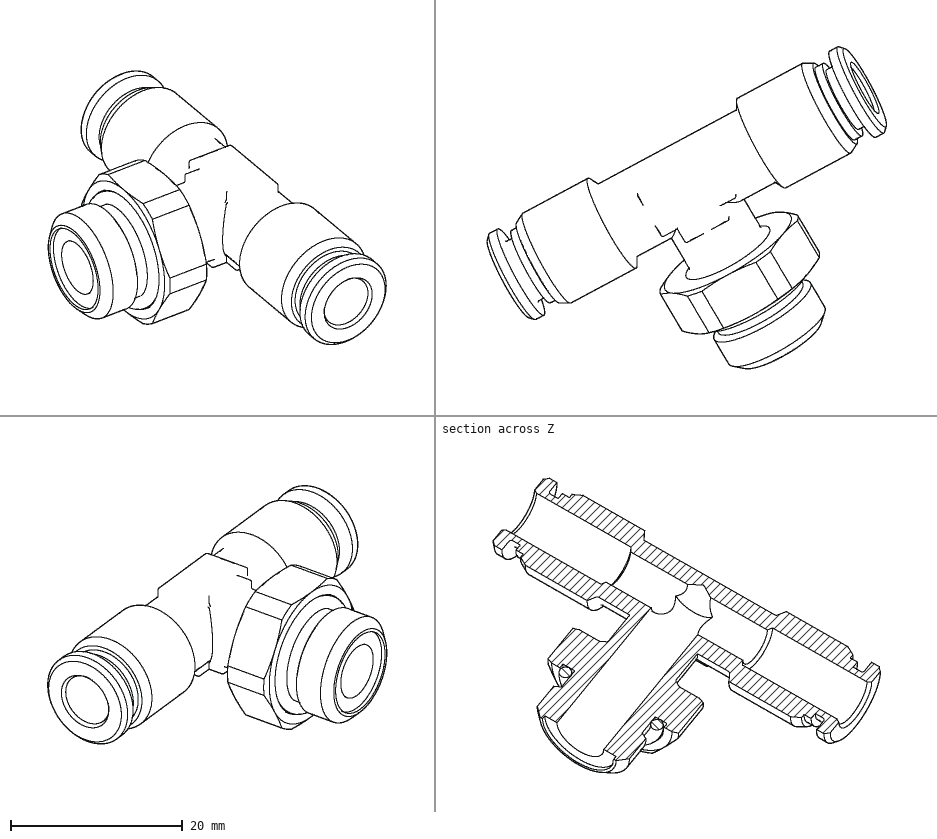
import cadquery as cq
import math

tube_radius = 4.8
root_fillet = 0.3
shoulder_angle = 60

run_half_length = 23.8
shoulder_start = 9.35
sleeve_radius = 5.95
sleeve_end = 19.85
sleeve_nose_length = 1.15
sleeve_nose_radius = 5.35
guide_radius = 4.8
guide_end = 20.85
neck_radius = 3.95
flange_radius = 5.7
flange_thickness = 1.6
flange_chamfer = 0.5

run_bore_radius = 2.5
socket_radius = 3.1
socket_mouth_radius = 3.4
socket_mouth_depth = 0.48
socket_bottom = 10.0

hex_start = 9.75
hex_end = 15.45
hex_sides = 6
hex_flats = 17.0
hex_corner_radius = 9.25
hex_chamfer_angle = 20
flare_foot = 9.3
relief_radius = 5.7
relief_end = 17.5
thread_radius = 6.5
thread_start = 17.95
thread_end = 21.35
stud_end = 22.45
stud_end_radius = 5.4
stud_face_recess_radius = 5.0
stud_face_recess_depth = 0.48

drill_radius = 3.3
drill_depth_past_axis = 1.5
drill_half_angle = 59

seal_outer_radius = 7.25
seal_section_radius = (seal_outer_radius - relief_radius) / 2
seal_mid_radius = relief_radius + seal_section_radius
seal_projection = 0.9
seal_recess_radius = 7.35

pad_height = 5.0
pad_half_width = 5.0
pad_half_depth = 3.0
pad_stem_half_width = 2.95
pad_stem_end = 5.0
pad_corner_radius = 0.3
pad_edge_fillet = 0.165


def filleted_shoulder(outline, foot, top_radius):
    """Continue a (distance, radius) outline from the tube up a shoulder cone with a filleted foot."""
    angle = math.radians(shoulder_angle)
    tangent = root_fillet * math.tan(angle / 2)
    rise = top_radius - tube_radius
    return (
        outline.lineTo(foot - tangent, tube_radius)
        .tangentArcPoint(
            (foot + tangent * math.cos(angle), tube_radius + tangent * math.sin(angle)), relative=False
        )
        .lineTo(foot + rise / math.tan(angle), top_radius)
    )


def make_run_half():
    """Right-hand half of the run: tube, sleeve, guide, neck and flange, turned about X."""
    flange_start = run_half_length - flange_thickness
    outline = cq.Workplane("XY").lineTo(0, tube_radius)
    outline = filleted_shoulder(outline, shoulder_start, sleeve_radius)
    outline = (
        outline.lineTo(sleeve_end - sleeve_nose_length, sleeve_radius)
        .lineTo(sleeve_end, sleeve_nose_radius)
        .lineTo(sleeve_end, guide_radius)
        .lineTo(guide_end, guide_radius)
        .lineTo(guide_end, neck_radius)
        .lineTo(flange_start - root_fillet, neck_radius)
        .tangentArcPoint((flange_start, neck_radius + root_fillet), relative=False)
        .lineTo(flange_start, flange_radius)
        .lineTo(run_half_length - flange_chamfer, flange_radius)
        .lineTo(run_half_length, flange_radius - flange_chamfer)
        .lineTo(run_half_length, 0)
        .close()
    )
    return outline.revolve(360, (0, 0, 0), (1, 0, 0))


def make_run_bore_half():
    """Right-hand half of the run's bore: through bore, socket and chamfered mouth."""
    bottom_cone = (socket_radius - run_bore_radius) / math.tan(math.radians(drill_half_angle))
    return (
        cq.Workplane("XY")
        .lineTo(0, run_bore_radius)
        .lineTo(socket_bottom - bottom_cone, run_bore_radius)
        .lineTo(socket_bottom, socket_radius)
        .lineTo(run_half_length - socket_mouth_depth, socket_radius)
        .lineTo(run_half_length, socket_mouth_radius)
        .lineTo(run_half_length, 0)
        .close()
        .revolve(360, (0, 0, 0), (1, 0, 0))
    )


def with_mirror_image(half):
    """Join a right-hand half to its mirror image across the YZ plane."""
    return half.union(half.mirror("YZ"))


def stud_profile():
    """Workplane whose local x is the distance along -Y and local y the radius."""
    return cq.Workplane(cq.Plane(origin=(0, 0, 0), xDir=(0, -1, 0), normal=(0, 0, 1)))


def turn_about_stud_axis(outline):
    return outline.close().revolve(360, (0, 0, 0), (1, 0, 0))


def make_branch():
    """Branch tube with its flare, the relief groove and the thread, turned about Y."""
    flare_radius = tube_radius + (hex_start - flare_foot) * math.tan(math.radians(shoulder_angle))
    outline = stud_profile().lineTo(0, tube_radius)
    outline = filleted_shoulder(outline, flare_foot, flare_radius)
    outline = (
        outline.lineTo(hex_end, flare_radius)
        .lineTo(hex_end, relief_radius)
        .lineTo(relief_end, relief_radius)
        .lineTo(thread_start, thread_radius)
        .lineTo(thread_end, thread_radius)
        .lineTo(stud_end, stud_end_radius)
        .lineTo(stud_end, stud_face_recess_radius)
        .lineTo(stud_end - stud_face_recess_depth, stud_face_recess_radius)
        .lineTo(stud_end - stud_face_recess_depth, 0)
    )
    return turn_about_stud_axis(outline)


def make_hexagon():
    """Hexagon with rounded corners, chamfered at both ends."""
    across_corners = hex_flats / math.cos(math.pi / hex_sides)
    prism = (
        cq.Workplane("XZ", origin=(0, -hex_start, 0))
        .polygon(hex_sides, across_corners)
        .extrude(hex_end - hex_start)
    )
    face_radius = hex_flats / 2
    chamfer_length = (hex_corner_radius - face_radius) * math.tan(math.radians(hex_chamfer_angle))
    blank = turn_about_stud_axis(
        stud_profile()
        .moveTo(hex_start, 0)
        .lineTo(hex_start, face_radius)
        .lineTo(hex_start + chamfer_length, hex_corner_radius)
        .lineTo(hex_end - chamfer_length, hex_corner_radius)
        .lineTo(hex_end, face_radius)
        .lineTo(hex_end, 0)
    )
    return prism.intersect(blank)


def make_seal_recess():
    """Annular recess in the hexagon's end face that the seal ring sits in."""
    depth = 2 * seal_section_radius - seal_projection
    return (
        cq.Workplane("XZ", origin=(0, -(hex_end - depth), 0))
        .circle(seal_recess_radius)
        .circle(relief_radius)
        .extrude(depth)
    )


def make_pads():
    """T-shaped block that shows as a raised pad on the top and bottom of the tee."""
    pad_corners = "|Z and (<X or >X or <Y)"
    return (
        cq.Workplane("XY", origin=(0, 0, -pad_height))
        .moveTo(-pad_half_width, pad_half_depth)
        .lineTo(pad_half_width, pad_half_depth)
        .lineTo(pad_half_width, -pad_half_depth)
        .lineTo(pad_stem_half_width, -pad_half_depth)
        .lineTo(pad_stem_half_width, -pad_stem_end)
        .lineTo(-pad_stem_half_width, -pad_stem_end)
        .lineTo(-pad_stem_half_width, -pad_half_depth)
        .lineTo(-pad_half_width, -pad_half_depth)
        .close()
        .extrude(2 * pad_height)
        .edges(pad_corners)
        .fillet(pad_corner_radius)
        .faces("|Z")
        .edges()
        .fillet(pad_edge_fillet)
    )


def fillet_pad_roots(tee):
    """Fillet the edges where the pad walls meet the tubes, on the top and the bottom."""
    margin = 0.025
    reach = pad_half_width + margin
    for side in (1, -1):
        pad_zone = cq.selectors.BoxSelector(
            (-reach, -pad_stem_end - margin, side * tube_radius / 2),
            (reach, pad_half_depth + margin, side * (tube_radius + margin)),
            boundingbox=True,
        )
        tee = tee.edges(pad_zone).edges("not |Z").fillet(root_fillet)
    return tee


def make_drilling():
    """Blind bore of the stud with its drill point just past the run axis."""
    point_length = drill_radius / math.tan(math.radians(drill_half_angle))
    return turn_about_stud_axis(
        stud_profile()
        .moveTo(stud_end, 0)
        .lineTo(stud_end, drill_radius)
        .lineTo(-drill_depth_past_axis, drill_radius)
        .lineTo(-drill_depth_past_axis - point_length, 0)
    )


def make_fitting():
    fitting = with_mirror_image(make_run_half())
    fitting = fitting.union(make_branch())
    fitting = fitting.union(make_pads())
    fitting = fillet_pad_roots(fitting)
    fitting = fitting.union(make_hexagon())
    fitting = fitting.cut(make_seal_recess())
    fitting = fitting.cut(with_mirror_image(make_run_bore_half()))
    return fitting.cut(make_drilling())


def make_seal_ring():
    """Round-section ring around the stud."""
    seal_center = hex_end + seal_projection - seal_section_radius
    return (
        stud_profile()
        .center(seal_center, seal_mid_radius)
        .circle(seal_section_radius)
        .revolve(360, (0, -seal_mid_radius, 0), (1, -seal_mid_radius, 0))
    )


fitting = make_fitting()
seal_ring = make_seal_ring()

result = cq.Compound.makeCompound([fitting.val(), seal_ring.val()])